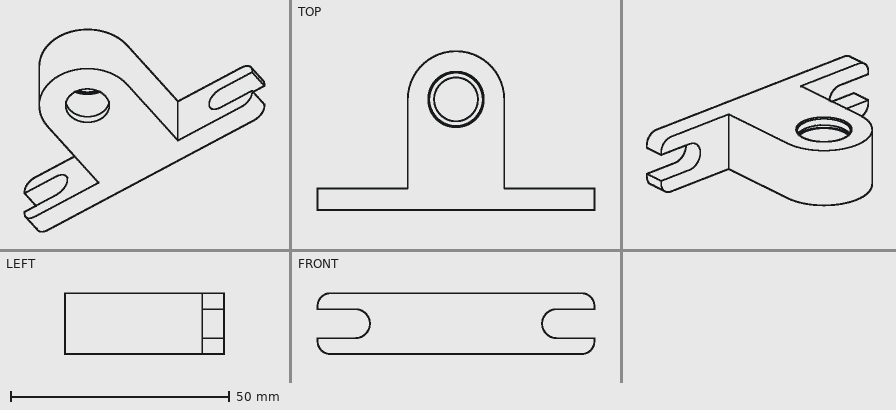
import cadquery as cq

plate_length = 63.5
plate_thickness = 5.0
height = 14.0
corner_radius = 3.0

slot_width = 6.6
slot_depth = 12.0

lug_width = 22.16
lug_radius = lug_width / 2
bore_center_y = 25.4
total_depth = bore_center_y + lug_radius

through_diameter = 10.0
seat_diameter = 12.2
seat_depth = 12.0
mouth_chamfer = 0.3
groove_diameter = 13.0
groove_width = 0.8
groove_top_depth = 1.9

top_z = height / 2


def make_plate():
    plate = cq.Workplane("XY").box(plate_length, plate_thickness, height)
    plate = plate.translate((0, plate_thickness / 2, 0))
    return plate.edges("|Y").fillet(corner_radius)


def make_end_slot(side):
    """Round-bottomed slot open at the plate end; side is -1 or +1 along X."""
    end_x = side * plate_length / 2
    bottom_x = end_x - side * slot_depth
    arc_center_x = bottom_x + side * slot_width / 2
    slot = (
        cq.Workplane("XZ")
        .moveTo(end_x, slot_width / 2)
        .lineTo(arc_center_x, slot_width / 2)
        .threePointArc((bottom_x, 0), (arc_center_x, -slot_width / 2))
        .lineTo(end_x, -slot_width / 2)
        .close()
    )
    return slot.extrude(-plate_thickness)


def make_lug():
    return (
        cq.Workplane("XY", origin=(0, 0, -top_z))
        .moveTo(-lug_radius, 0)
        .lineTo(lug_radius, 0)
        .lineTo(lug_radius, bore_center_y)
        .threePointArc((0, total_depth), (-lug_radius, bore_center_y))
        .close()
        .extrude(height)
    )


def make_bore():
    """Revolve the stepped half section of the bore about its vertical axis."""
    through_radius = through_diameter / 2
    seat_radius = seat_diameter / 2
    groove_radius = groove_diameter / 2
    groove_top_z = top_z - groove_top_depth
    groove_bottom_z = groove_top_z - groove_width
    seat_floor_z = top_z - seat_depth
    half_section = [
        (0, top_z),
        (-(seat_radius + mouth_chamfer), top_z),
        (-seat_radius, top_z - mouth_chamfer),
        (-seat_radius, groove_top_z),
        (-groove_radius, groove_top_z),
        (-groove_radius, groove_bottom_z),
        (-seat_radius, groove_bottom_z),
        (-seat_radius, seat_floor_z),
        (-through_radius, seat_floor_z),
        (-through_radius, -top_z),
        (0, -top_z),
    ]
    profile = cq.Workplane("YZ", origin=(0, bore_center_y, 0)).polyline(half_section).close()
    return profile.revolve(360, (0, 0, 0), (0, 1, 0))


result = make_plate().union(make_lug())
for side in (-1, 1):
    result = result.cut(make_end_slot(side))
result = result.cut(make_bore())